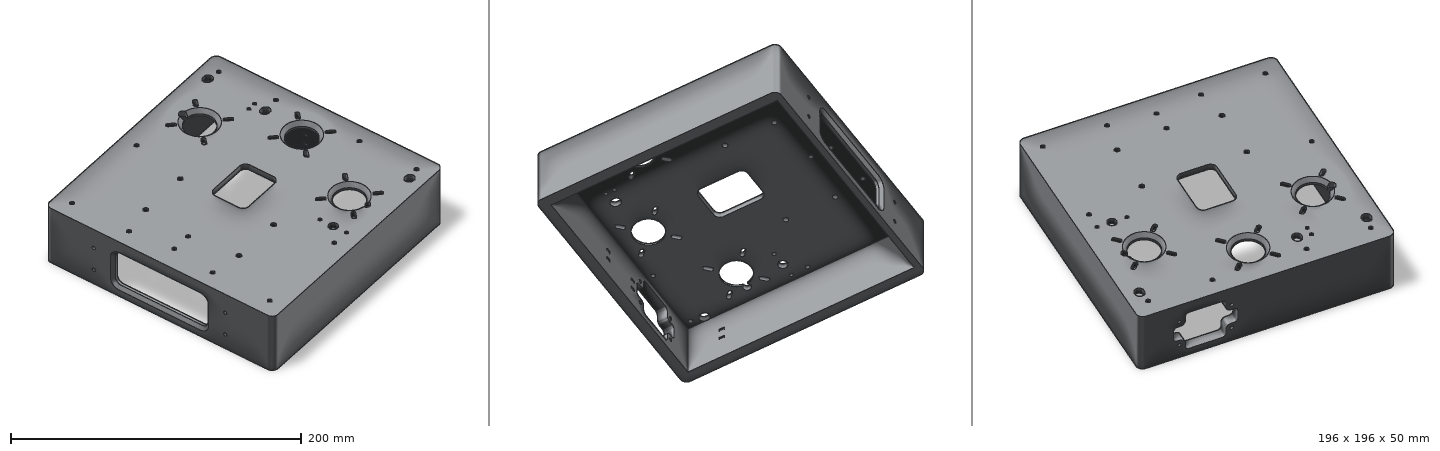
import cadquery as cq

SIDE = 196.0
HEIGHT = 50.0
CORNER_RADIUS = 5.0
WALL = 8.0
FRONT_WALL = 4.9
TOP_THICKNESS = 4.9
CAVITY_HEIGHT = HEIGHT - TOP_THICKNESS
FRONT_Y = -SIDE / 2
INNER_X = SIDE / 2 - WALL
INNER_BACK_Y = SIDE / 2 - WALL
INNER_FRONT_Y = FRONT_Y + FRONT_WALL

SMALL_SCREW_DIA = 2.7
COVER_SCREW_DIA = 3.3
PLATE_SCREW_DIA = 4.0
CABLE_DIA = 7.0

COVER_SCREW_EDGE = 84.9
COVER_SCREW_INNER_X = 35.9
COVER_SCREW_SIDE_Y = -10.2
BLIND_SKIN = 1.0

OPENING_DIA = 24.0
OPENING_RIM_DIA = 30.0
OPENING_CENTRES = [(0, 66.6), (-64.3, 35.0), (64.3, 35.0)]
DIAGONAL_SLOT_OFFSET = 14.1
DIAGONAL_SLOT_LENGTH = 7.5
DIAGONAL_SLOT_WIDTH = 3.3
SIDE_NOTCH_DIA = 6.0
SIDE_NOTCH_X = 78.5
SIDE_NOTCH_Y = OPENING_CENTRES[1][1]

TOP_WINDOW_X = 30.0
TOP_WINDOW_Y = 40.0
TOP_WINDOW_RADIUS = 5.0

CABLE_SLOT_LENGTH = 8.2
CABLE_SLOT_CENTRES = [(-86.6, 74.5), (86.6, 74.5), (-35.0, 71.5)]
SENSOR_CENTRE = (73.9, 3.3)
SENSOR_SCREW_OFFSET = 11.4
LAMP_SCREWS = [(-45.3, 73.1), (-45.3, 66.2)]

PLATE_SCREW_X = 40.0
PLATE_SCREW_YS = (-20.0, -60.0)
CENTRE_SCREW_YS = (-64.9, -81.0)

WALL_MIDDLE_Z = 23.0
DISPLAY_X = 79.2
DISPLAY_Z = 29.4
DISPLAY_RADIUS = 5.0
DISPLAY_CHAMFER = 2.5
DISPLAY_SCREW_X = 56.5
DISPLAY_SCREW_Z = 10.0

SOCKET_SCREW_SPACING_X = 40.0
SOCKET_SCREW_SPACING_Z = 22.1
SOCKET_FIRST_SCREW_X = 27.2
SOCKET_CENTRE_X = SOCKET_FIRST_SCREW_X + SOCKET_SCREW_SPACING_X / 2
SOCKET_WIDTH = 49.0
SOCKET_HEIGHT = 34.5
SOCKET_RADIUS = 3.0
LUG_MARGIN = 4.5
LUG_RADIUS = 4.0

BACK_TIE_Z = 21.2
TIE_OUTER_RADIUS = 5.0
TIE_INNER_RADIUS = 3.5
TIE_WIDTH = 4.0
BACK_TIE_XS = (-14.3, 17.6)
SIDE_TIE_Y = 62.7
SIDE_TIE_Z = 24.5


def top_holes(diameter, centres, depth=TOP_THICKNESS):
    """Round cutters that go down from the top face."""
    plane = cq.Workplane("XY", origin=(0, 0, HEIGHT))
    return plane.pushPoints(centres).circle(diameter / 2).extrude(-depth)


def top_slots(length, width, angle, centres):
    """Slot cutters that go down through the top."""
    plane = cq.Workplane("XY", origin=(0, 0, HEIGHT))
    return plane.pushPoints(centres).slot2D(length, width, angle).extrude(-TOP_THICKNESS)


def wall_holes(diameter, centres, inner_y, thickness):
    """Round cutters through a wall along Y, placed by X and Z.

    A negative thickness goes toward +Y, a positive one toward -Y.
    """
    plane = cq.Workplane("XZ", origin=(0, inner_y, 0))
    return plane.pushPoints(centres).circle(diameter / 2).extrude(thickness)


def wall_block(size_x, size_z, centre_x, inner_y, thickness):
    """Rectangular cutter through a wall along Y, with its middle at WALL_MIDDLE_Z."""
    plane = cq.Workplane("XZ", origin=(centre_x, inner_y, WALL_MIDDLE_Z))
    return plane.rect(size_x, size_z).extrude(thickness)


def box_shell():
    outer = cq.Workplane("XY").rect(SIDE, SIDE).extrude(HEIGHT)
    outer = outer.edges("|Z").fillet(CORNER_RADIUS)
    cavity = cq.Workplane("XY").box(
        2 * INNER_X, INNER_BACK_Y - INNER_FRONT_Y, CAVITY_HEIGHT, centered=(True, False, False)
    )
    return outer.cut(cavity.translate((0, INNER_FRONT_Y, 0)))


def cut_openings(body):
    sink = (OPENING_RIM_DIA - OPENING_DIA) / 2
    for x, y in OPENING_CENTRES:
        cone = cq.Solid.makeCone(
            OPENING_RIM_DIA / 2, OPENING_DIA / 2, sink, cq.Vector(x, y, HEIGHT), cq.Vector(0, 0, -1)
        )
        body = body.cut(top_holes(OPENING_DIA, [(x, y)])).cut(cq.Workplane(cone))
        for sx in (-1, 1):
            for sy in (-1, 1):
                centre = (x + sx * DIAGONAL_SLOT_OFFSET, y + sy * DIAGONAL_SLOT_OFFSET)
                slot = top_slots(DIAGONAL_SLOT_LENGTH, DIAGONAL_SLOT_WIDTH, sx * sy * 45, [centre])
                body = body.cut(slot)
    notches = [(-SIDE_NOTCH_X, SIDE_NOTCH_Y), (SIDE_NOTCH_X, SIDE_NOTCH_Y)]
    return body.cut(top_holes(SIDE_NOTCH_DIA, notches))


def cut_top_window(body):
    window = cq.Workplane("XY", origin=(0, 0, HEIGHT)).rect(TOP_WINDOW_X, TOP_WINDOW_Y)
    window = window.extrude(-TOP_THICKNESS).edges("|Z").fillet(TOP_WINDOW_RADIUS)
    return body.cut(window)


def cut_top_screws(body):
    edge = COVER_SCREW_EDGE
    inner = COVER_SCREW_INNER_X
    cover = [(x, y) for x in (-edge, edge) for y in (-edge, COVER_SCREW_SIDE_Y, edge)]
    cover += [(-inner, -edge), (inner, -edge), (inner, edge)]
    body = body.cut(top_holes(COVER_SCREW_DIA, cover))
    body = body.cut(top_holes(COVER_SCREW_DIA, [(-inner, edge)], TOP_THICKNESS - BLIND_SKIN))

    plate = [(x, y) for x in (-PLATE_SCREW_X, PLATE_SCREW_X) for y in PLATE_SCREW_YS]
    body = body.cut(top_holes(PLATE_SCREW_DIA, plate))
    return body.cut(top_holes(COVER_SCREW_DIA, [(0, y) for y in CENTRE_SCREW_YS]))


def cut_cable_holes(body):
    x, y = SENSOR_CENTRE
    sensor_screws = [(x - SENSOR_SCREW_OFFSET, y), (x + SENSOR_SCREW_OFFSET, y)]
    body = body.cut(top_slots(CABLE_SLOT_LENGTH, CABLE_DIA, 90, CABLE_SLOT_CENTRES))
    body = body.cut(top_holes(CABLE_DIA, [SENSOR_CENTRE]))
    return body.cut(top_holes(SMALL_SCREW_DIA, sensor_screws + LAMP_SCREWS))


def cut_display(body):
    window = wall_block(DISPLAY_X, DISPLAY_Z, 0, INNER_FRONT_Y, FRONT_WALL)
    body = body.cut(window.edges("|Y").fillet(DISPLAY_RADIUS))
    rim = (
        cq.Workplane("XZ", origin=(0, FRONT_Y, WALL_MIDDLE_Z))
        .sketch()
        .rect(DISPLAY_X + 2 * DISPLAY_CHAMFER, DISPLAY_Z + 2 * DISPLAY_CHAMFER)
        .vertices()
        .fillet(DISPLAY_RADIUS + DISPLAY_CHAMFER)
        .finalize()
        .extrude(-DISPLAY_CHAMFER, taper=45)
    )
    body = body.cut(rim)
    screws = [
        (x, WALL_MIDDLE_Z + z)
        for x in (-DISPLAY_SCREW_X, DISPLAY_SCREW_X)
        for z in (-DISPLAY_SCREW_Z, DISPLAY_SCREW_Z)
    ]
    return body.cut(wall_holes(SMALL_SCREW_DIA, screws, INNER_FRONT_Y, FRONT_WALL))


def cut_socket(body):
    across_z = SOCKET_SCREW_SPACING_Z - 2 * LUG_MARGIN
    upright_x = SOCKET_SCREW_SPACING_X - 2 * LUG_MARGIN
    across = wall_block(SOCKET_WIDTH, across_z, SOCKET_CENTRE_X, INNER_BACK_Y, -WALL)
    upright = wall_block(upright_x, SOCKET_HEIGHT, SOCKET_CENTRE_X, INNER_BACK_Y, -WALL)
    across = across.edges("|Y").fillet(SOCKET_RADIUS)
    upright = upright.edges("|Y").fillet(SOCKET_RADIUS)

    left = SOCKET_CENTRE_X - SOCKET_SCREW_SPACING_X / 2
    right = SOCKET_CENTRE_X + SOCKET_SCREW_SPACING_X / 2
    bottom = WALL_MIDDLE_Z - SOCKET_SCREW_SPACING_Z / 2
    top = WALL_MIDDLE_Z + SOCKET_SCREW_SPACING_Z / 2
    near_lugs = cq.selectors.BoxSelector((left, INNER_BACK_Y, bottom), (right, SIDE / 2, top))
    cutout = across.union(upright).edges("|Y").edges(near_lugs).fillet(LUG_RADIUS)

    screws = [(x, z) for x in (left, right) for z in (bottom, top)]
    return body.cut(cutout).cut(wall_holes(SMALL_SCREW_DIA, screws, INNER_BACK_Y, -WALL))


def tie_ring():
    """Flat ring around the X axis whose outer half becomes a channel in a wall."""
    ring = cq.Workplane("YZ", origin=(-TIE_WIDTH / 2, 0, 0))
    return ring.circle(TIE_OUTER_RADIUS).circle(TIE_INNER_RADIUS).extrude(TIE_WIDTH)


def cut_ties(body):
    for x in BACK_TIE_XS:
        body = body.cut(tie_ring().translate((x, INNER_BACK_Y, BACK_TIE_Z)))
    side_ring = tie_ring().rotate((0, 0, 0), (0, 0, 1), 90)
    return body.cut(side_ring.translate((INNER_X, SIDE_TIE_Y, SIDE_TIE_Z)))


result = box_shell()
result = cut_openings(result)
result = cut_top_window(result)
result = cut_top_screws(result)
result = cut_cable_holes(result)
result = cut_display(result)
result = cut_socket(result)
result = cut_ties(result)